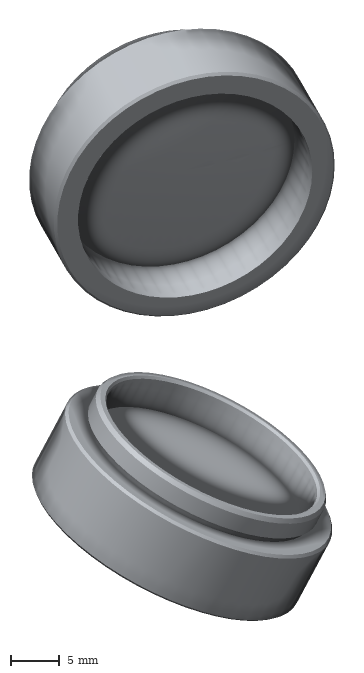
import cadquery as cq
import math

total_length = 11.43
body_radius = 15.25
body_chamfer = 0.27

spigot_radius = 13.15
spigot_chamfer_length = 0.45
spigot_chamfer_depth = 0.3
spigot_length = 2.32
relief_radius = 12.68
relief_width = 0.75
body_length = total_length - spigot_length - relief_width

aperture_radius = 12.0
aperture_chamfer = 0.25
seat_depth = 3.8

lens_radius = 12.7
lens_edge_thickness = 2.0
lens_curvature_radius = 68.9

front_x = -total_length / 2
spigot_end_x = front_x + spigot_length
body_front_x = spigot_end_x + relief_width
body_back_x = body_front_x + body_length
seat_x = front_x + seat_depth


def turn(profile):
    """Revolve a closed half-profile in the XY plane about the X axis."""
    return profile.close().revolve(360, (0, 0, 0), (1, 0, 0))


def make_housing():
    """Stepped ring: chamfered spigot, relief groove, main body, aperture and lens bore."""
    return turn(
        cq.Workplane("XY")
        .moveTo(front_x, aperture_radius + aperture_chamfer)
        .lineTo(front_x, spigot_radius - spigot_chamfer_depth)
        .lineTo(front_x + spigot_chamfer_length, spigot_radius)
        .lineTo(spigot_end_x, spigot_radius)
        .lineTo(spigot_end_x, relief_radius)
        .lineTo(body_front_x, relief_radius)
        .lineTo(body_front_x, body_radius - body_chamfer)
        .lineTo(body_front_x + body_chamfer, body_radius)
        .lineTo(body_back_x - body_chamfer, body_radius)
        .lineTo(body_back_x, body_radius - body_chamfer)
        .lineTo(body_back_x, lens_radius)
        .lineTo(seat_x, lens_radius)
        .lineTo(seat_x, aperture_radius)
        .lineTo(front_x + aperture_chamfer, aperture_radius)
    )


def make_lens():
    """Plano-convex disc with its flat face on the seat and its dome toward +X."""
    edge_x = seat_x + lens_edge_thickness
    centre_x = edge_x - math.sqrt(lens_curvature_radius**2 - lens_radius**2)
    half_angle = math.asin(lens_radius / lens_curvature_radius) / 2
    arc_middle = (
        centre_x + lens_curvature_radius * math.cos(half_angle),
        lens_curvature_radius * math.sin(half_angle),
    )
    dome_tip = (centre_x + lens_curvature_radius, 0)
    return turn(
        cq.Workplane("XY")
        .moveTo(seat_x, 0)
        .lineTo(seat_x, lens_radius)
        .lineTo(edge_x, lens_radius)
        .threePointArc(arc_middle, dome_tip)
    )


housing = make_housing()
lens = make_lens()

result = cq.Compound.makeCompound([housing.val(), lens.val()])